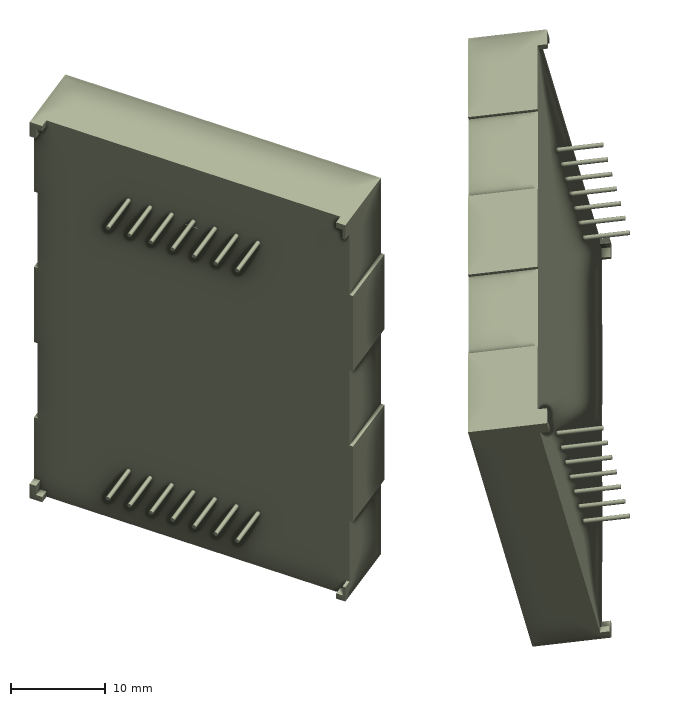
import cadquery as cq

width = 37.65
height = 53.0
body_depth = 7.45

band_count = 5
band_height = height / band_count
side_step = 0.4

foot_height = 1.0
foot_length_x = 1.5
foot_length_z = 2.0
foot_thickness = 0.75

pins_per_row = 7
pin_pitch = 2.55
row_spacing = 38.1
pin_diameter = 0.5
pin_length = 5.0

groove_length = 1.5
groove_width = 0.15
groove_depth = 0.1
groove_drop = 0.75



def box(x_range, y_range, z_range):
    """Axis-aligned box spanning the given (low, high) ranges."""
    lows, highs = zip(x_range, y_range, z_range)
    sizes = [high - low for low, high in zip(lows, highs)]
    return cq.Workplane("XY").box(*sizes, centered=False).translate(lows)


def make_body():
    """Stack of equal bands, alternately pushed to the left and to the right."""
    body = cq.Workplane("XY")
    for band in range(band_count):
        bottom = band * band_height - height / 2
        left = -width / 2 + side_step * (band % 2)
        right = left + width - side_step
        body = body.union(box((left, right), (0, body_depth), (bottom, bottom + band_height)))
    return body


def make_feet():
    """L-shaped feet in the four corners, trimmed flush with the end bands on the right."""
    left = -width / 2
    bottom = -height / 2
    foot = (
        cq.Workplane("XZ", origin=(left, 0, bottom))
        .lineTo(foot_length_x, 0)
        .lineTo(foot_length_x, foot_thickness)
        .lineTo(foot_thickness, foot_thickness)
        .lineTo(foot_thickness, foot_length_z)
        .lineTo(0, foot_length_z)
        .close()
        .extrude(foot_height)
    )
    lower_feet = foot.union(foot.mirror("YZ"))
    feet = lower_feet.union(lower_feet.mirror("XY"))
    overhang = box((width / 2 - side_step, width / 2), (-foot_height, 0), (bottom, -bottom))
    return feet.cut(overhang)


def make_pins():
    """Round pins in two rows centred on the pin face."""
    return (
        cq.Workplane("XZ")
        .rarray(pin_pitch, row_spacing, pins_per_row, 2)
        .circle(pin_diameter / 2)
        .extrude(pin_length)
    )


def make_groove():
    """Shallow groove under the upper pin row, centred on the width of the end bands."""
    return (
        cq.Workplane("XZ", origin=(-side_step / 2, 0, row_spacing / 2 - groove_drop))
        .rect(groove_length, groove_width)
        .extrude(-groove_depth)
    )


result = make_body().cut(make_groove()).union(make_feet()).union(make_pins())